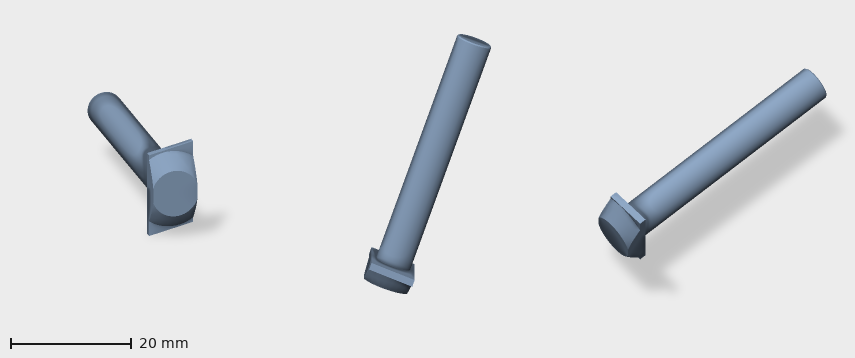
import cadquery as cq

shank_diameter = 6.0
shank_length = 40.0
tip_chamfer = 0.2

plate_thickness = 1.2
head_width = 7.6
head_height = 16.0
end_drop = 1.8

crown_height = 2.6
crown_top_diameter = 8.0
crown_base_diameter = crown_top_diameter + 2 * crown_height


def make_shank():
    shank = cq.Workplane("YZ").circle(shank_diameter / 2).extrude(shank_length)
    return shank.faces("<X").chamfer(tip_chamfer)


def make_plate():
    half_width = head_width / 2
    half_height = head_height / 2
    outline = [
        (half_width, half_height),
        (-half_width, half_height - end_drop),
        (-half_width, -half_height),
        (half_width, -half_height + end_drop),
    ]
    return (
        cq.Workplane("YZ", origin=(shank_length, 0, 0))
        .polyline(outline)
        .close()
        .extrude(plate_thickness)
    )


def make_crown():
    base_x = shank_length + plate_thickness
    top_x = base_x + crown_height
    cone_profile = [
        (base_x, 0),
        (base_x, crown_base_diameter / 2),
        (top_x, crown_top_diameter / 2),
        (top_x, 0),
    ]
    cone = cq.Workplane("XY").polyline(cone_profile).close().revolve(360, (0, 0, 0), (1, 0, 0))
    width_limit = (
        cq.Workplane("YZ", origin=(base_x, 0, 0))
        .rect(head_width, crown_base_diameter)
        .extrude(crown_height)
    )
    return cone.intersect(width_limit)


result = make_shank().union(make_plate()).union(make_crown())